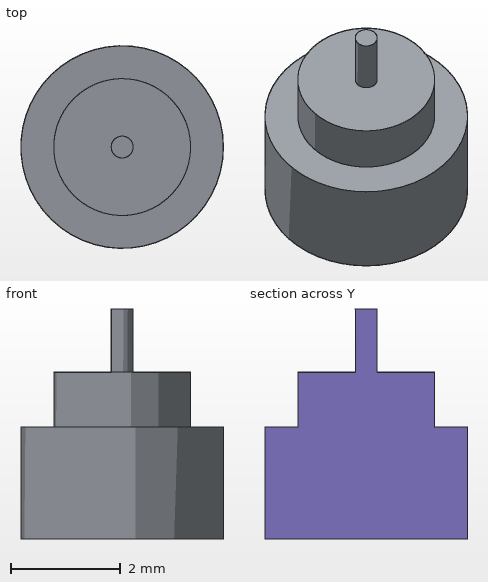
import cadquery as cq

total_height = 4.2
base_diameter = 3.7
base_height = 2.05
collar_diameter = 2.5
collar_height = 1.0
insert_diameter = 1.95
pin_diameter = 0.4

collar_top = base_height + collar_height
pin_height = total_height - collar_top


def cylinder(diameter, height, bottom):
    """Upright cylinder on the Z axis, starting at the given level."""
    return cq.Workplane("XY").workplane(offset=bottom).circle(diameter / 2).extrude(height)


base = cylinder(base_diameter, base_height, 0)
collar = cylinder(collar_diameter, collar_height, base_height)
insert = cylinder(insert_diameter, collar_height, base_height)
pin = cylinder(pin_diameter, pin_height, collar_top)

sleeve = collar.cut(insert)
result = base.union(sleeve, clean=False).union(insert, clean=False).union(pin, clean=False)